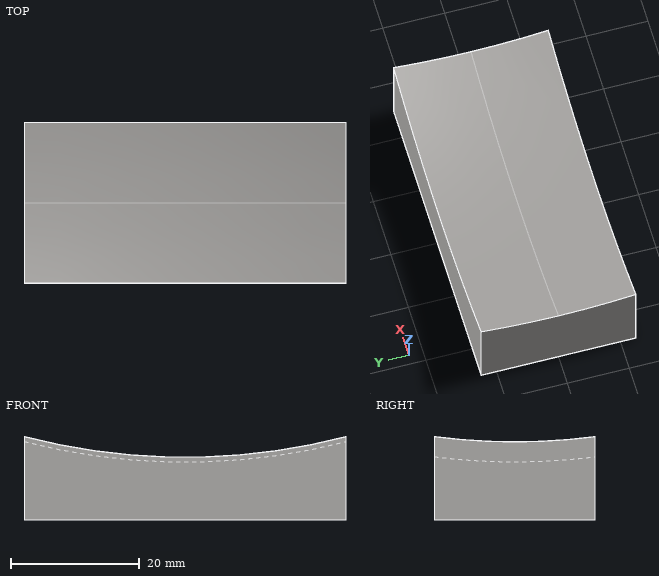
import cadquery as cq

length = 50.0
width = 25.0
center_height = 9.0
dish_radius = 100.0
blank_height = 2 * center_height

blank = cq.Workplane("XY").box(length, width, blank_height, centered=(True, True, False))

dish_sphere = (
    cq.Workplane("XY")
    .sphere(dish_radius)
    .rotate((0, 0, 0), (0, 1, 0), 90)
    .translate((0, 0, center_height + dish_radius))
)

result = blank.cut(dish_sphere, clean=False)